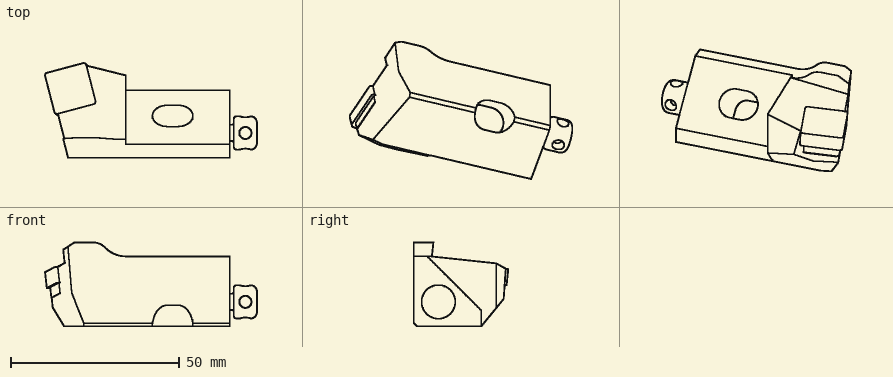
import cadquery as cq
import math


SHANK_END = 54.95
SHANK_DEPTH = 20.1
LIP_HEIGHT = 20.85
LIP_DEPTH = 4.05
EDGE_CHAMFER = 1.0

SLOT_X = 37.9
SLOT_STRAIGHT = 3.1
SLOT_DIAMETER = 8.95
SLOT_LENGTH = 75.6

HEAD_RIGHT = 24.0
HEAD_HEIGHT = 25.0
CREST_START = 8.75
CREST_END = 14.25
CREST_RADIUS = 5.0
NOSE_RADIUS = 1.0
NOSE_ANGLE = 33
WALL_DEPTH = 5.9
BACK_CORNER_Y = 24.5
BACK_SLOPE = -0.25
UNDERCUT_RISE = 1.22

SLOPE_X = 0.11
SLOPE_Y = -0.107
TURN = 15
INSERT_SIDE = 12.7
INSERT_THICKNESS = 4.8
INSERT_CORNER = 0.8
INSERT_CENTRE = (7.5, 20.6, 17.4)
SHIM_THICKNESS = 3.15
SHIM_CORNER = 1.25
SHIM_INSET = 0.75
HEAD_LEFT_INSET = 0.9
HEAD_BACK_INSET = 1.0
HEAD_CORNER = 0.8

LEFT_CLEARANCE_TOP = (7.95, 0, 9.95)
LEFT_CLEARANCE_FOOT = (11.9, 0, 0)
CORNER_FOOT = (5.7, 19.3, 0)
CORNER_RISE = 1.3

SCREW_Y = 7.4
SCREW_Z = 7.3
NECK_DIAMETER = 4.9
SCREW_HEAD_START = 56.0
SCREW_HEAD_END = 63
SCREW_HEAD_DIAMETER = 10.0
INNER_ROUND = 1.0
OUTER_ROUND = 2.0
NECK_FILLET = 0.3
TOMMY_HOLE_DIAMETER = 3.5
TOMMY_HOLE_X = 59.55

STOCK = 126


def block_beyond(point, normal):
    """Large block on the side of a plane that its normal points to."""
    return cq.Workplane(cq.Plane(origin=point, normal=normal)).rect(STOCK, STOCK).extrude(STOCK)


turn = math.radians(TURN)
x_dir = cq.Vector(
    math.cos(turn), math.sin(turn), SLOPE_X * math.cos(turn) + SLOPE_Y * math.sin(turn)
).normalized()
insert_normal = cq.Vector(-SLOPE_X, -SLOPE_Y, 1).normalized()
y_dir = insert_normal.cross(x_dir)
insert_plane = cq.Plane(origin=INSERT_CENTRE, xDir=x_dir, normal=insert_normal)


def make_insert():
    return (
        cq.Workplane(insert_plane)
        .rect(INSERT_SIDE, INSERT_SIDE)
        .extrude(-INSERT_THICKNESS)
        .edges(cq.selectors.ParallelDirSelector(insert_normal))
        .fillet(INSERT_CORNER)
    )


def make_shim():
    width = INSERT_SIDE - 2 * SHIM_INSET
    depth = INSERT_SIDE - SHIM_INSET
    return (
        cq.Workplane(insert_plane)
        .workplane(offset=-INSERT_THICKNESS)
        .center(0, -SHIM_INSET / 2)
        .rect(width, depth)
        .extrude(-SHIM_THICKNESS)
        .edges(cq.selectors.ParallelDirSelector(insert_normal))
        .fillet(SHIM_CORNER)
    )


def make_shank():
    slope_end = LIP_HEIGHT - (SHANK_DEPTH - LIP_DEPTH)
    return (
        cq.Workplane("YZ", origin=(HEAD_RIGHT, 0, 0))
        .moveTo(0, 0)
        .lineTo(SHANK_DEPTH, 0)
        .lineTo(SHANK_DEPTH, slope_end)
        .lineTo(LIP_DEPTH, LIP_HEIGHT)
        .lineTo(0, LIP_HEIGHT)
        .close()
        .extrude(SHANK_END - HEAD_RIGHT)
    )


def head_stock():
    """Side profile of the head, with two tangent arcs dropping to the lip."""
    run = HEAD_RIGHT - CREST_END
    drop = HEAD_HEIGHT - LIP_HEIGHT
    valley_radius = (run**2 + drop**2) / (2 * drop) - CREST_RADIUS
    sweep = math.asin(run / (CREST_RADIUS + valley_radius))

    def on_crest(angle):
        return (CREST_END + CREST_RADIUS * math.sin(angle),
                HEAD_HEIGHT - CREST_RADIUS * (1 - math.cos(angle)))

    def on_valley(angle):
        return (HEAD_RIGHT - valley_radius * math.sin(angle),
                LIP_HEIGHT + valley_radius * (1 - math.cos(angle)))

    nose_drop = CREST_START * math.tan(math.radians(NOSE_ANGLE))
    return (
        cq.Workplane("XZ")
        .moveTo(0, 0)
        .lineTo(HEAD_RIGHT, 0)
        .lineTo(HEAD_RIGHT, LIP_HEIGHT)
        .threePointArc(on_valley(sweep / 2), on_valley(sweep))
        .threePointArc(on_crest(sweep / 2), (CREST_END, HEAD_HEIGHT))
        .lineTo(CREST_START, HEAD_HEIGHT)
        .lineTo(0, HEAD_HEIGHT - nose_drop)
        .close()
        .extrude(-STOCK)
        .edges(cq.selectors.NearestToPointSelector((CREST_START, STOCK / 2, HEAD_HEIGHT)))
        .fillet(NOSE_RADIUS)
    )


def make_head():
    head = head_stock()

    above_floor = block_beyond(INSERT_CENTRE, insert_normal)
    behind_wall = block_beyond((0, WALL_DEPTH, HEAD_HEIGHT), (0, 1, SLOPE_Y))
    head = head.cut(above_floor.intersect(behind_wall))

    outer_corner = (HEAD_LEFT_INSET - INSERT_SIDE / 2, INSERT_SIDE / 2 - HEAD_BACK_INSET)
    envelope = (
        cq.Workplane(insert_plane)
        .moveTo(outer_corner[0] + STOCK / 2, outer_corner[1] - STOCK / 2)
        .rect(STOCK, STOCK)
        .extrude(STOCK, both=True)
        .edges(cq.selectors.NearestToPointSelector(insert_plane.toWorldCoords(outer_corner)))
        .fillet(HEAD_CORNER)
    )
    head = head.intersect(envelope)

    head = head.cut(block_beyond((HEAD_RIGHT, BACK_CORNER_Y, 0), (-BACK_SLOPE, 1, 0)))
    head = head.cut(block_beyond((0, SHANK_DEPTH, 0), (0, UNDERCUT_RISE, -1)))

    foot = cq.Vector(*LEFT_CLEARANCE_FOOT)
    fall = foot - cq.Vector(*LEFT_CLEARANCE_TOP)
    foot_line = cq.Vector(*CORNER_FOOT) - foot
    head = head.cut(block_beyond(LEFT_CLEARANCE_TOP, foot_line.cross(fall)))
    corner_normal = (-CORNER_RISE * math.sin(turn), CORNER_RISE * math.cos(turn), -1)
    return head.cut(block_beyond(CORNER_FOOT, corner_normal))


def make_slot():
    slope_plane = cq.Plane(origin=(SLOT_X, 0, 0), xDir=(1, 0, 0), normal=(0, 1, 1))
    return (
        cq.Workplane(slope_plane)
        .slot2D(SLOT_STRAIGHT + SLOT_DIAMETER, SLOT_DIAMETER)
        .extrude(SLOT_LENGTH / 2, both=True)
    )


def make_chamfer_cut():
    return (
        cq.Workplane("YZ")
        .polyline([(0, 0), (EDGE_CHAMFER, 0), (0, EDGE_CHAMFER)])
        .close()
        .extrude(SHANK_END)
    )


def make_screw():
    axis_plane = cq.Plane(origin=(SHANK_END, SCREW_Y, SCREW_Z), xDir=(0, 1, 0), normal=(1, 0, 0))
    neck_length = SCREW_HEAD_START - SHANK_END
    neck = cq.Workplane(axis_plane).circle(NECK_DIAMETER / 2).extrude(neck_length)
    head = (
        cq.Workplane(axis_plane)
        .workplane(offset=neck_length)
        .circle(SCREW_HEAD_DIAMETER / 2)
        .extrude(SCREW_HEAD_END - SCREW_HEAD_START)
        .faces("<X").edges().fillet(INNER_ROUND)
        .faces(">X").edges().fillet(OUTER_ROUND)
    )
    screw = neck.union(head)
    junction = cq.selectors.BoxSelector(
        (SCREW_HEAD_START - NECK_FILLET, SCREW_Y - NECK_DIAMETER, SCREW_Z - NECK_DIAMETER),
        (SCREW_HEAD_START + NECK_FILLET, SCREW_Y + NECK_DIAMETER, SCREW_Z + NECK_DIAMETER),
    )
    screw = screw.edges(junction).edges(cq.selectors.RadiusNthSelector(0)).fillet(NECK_FILLET)
    for direction in ((0, 1, 0), (0, 0, 1)):
        hole_plane = cq.Plane(
            origin=(TOMMY_HOLE_X, SCREW_Y, SCREW_Z), xDir=(1, 0, 0), normal=direction
        )
        hole = (
            cq.Workplane(hole_plane)
            .circle(TOMMY_HOLE_DIAMETER / 2)
            .extrude(SCREW_HEAD_DIAMETER, both=True)
        )
        screw = screw.cut(hole)
    return screw


insert = make_insert()

holder = make_shank().union(make_head())
holder = holder.cut(make_slot()).cut(make_chamfer_cut())
holder = holder.union(make_shim()).cut(insert).union(make_screw())

result = cq.Compound.makeCompound([holder.solids().val(), insert.solids().val()])